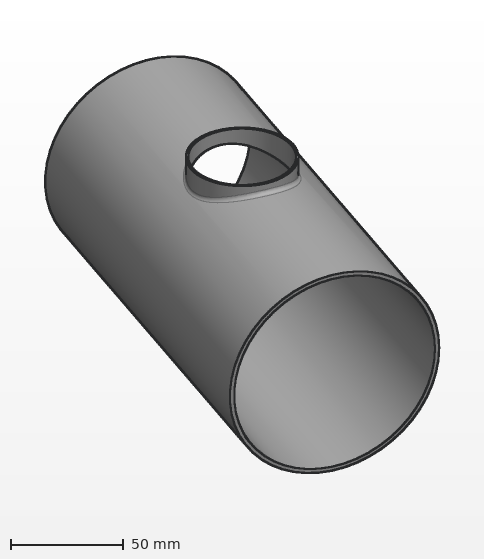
import cadquery as cq

pipe_length = 200.0
pipe_outer_diameter = 101.5
pipe_inner_diameter = 97.5

branch_outer_diameter = 49.8
branch_inner_diameter = 47.8
branch_top = 106.8 - pipe_outer_diameter / 2
weld_radius = 2.0


def pipe_cylinder(diameter):
    """Solid cylinder along X, centred on the origin."""
    return cq.Workplane("YZ").circle(diameter / 2).extrude(pipe_length / 2, both=True)


def branch_cylinder(diameter):
    """Solid cylinder from the pipe axis up to the branch rim."""
    return cq.Workplane("XY").circle(diameter / 2).extrude(branch_top)


tee = pipe_cylinder(pipe_outer_diameter).union(branch_cylinder(branch_outer_diameter))
joint_reach = branch_outer_diameter
joint_region = cq.selectors.BoxSelector(
    (-joint_reach, -joint_reach, 0),
    (joint_reach, joint_reach, branch_top - weld_radius / 2),
)
tee = tee.edges(joint_region).edges("not %LINE").fillet(weld_radius)

result = tee.cut(pipe_cylinder(pipe_inner_diameter)).cut(branch_cylinder(branch_inner_diameter))